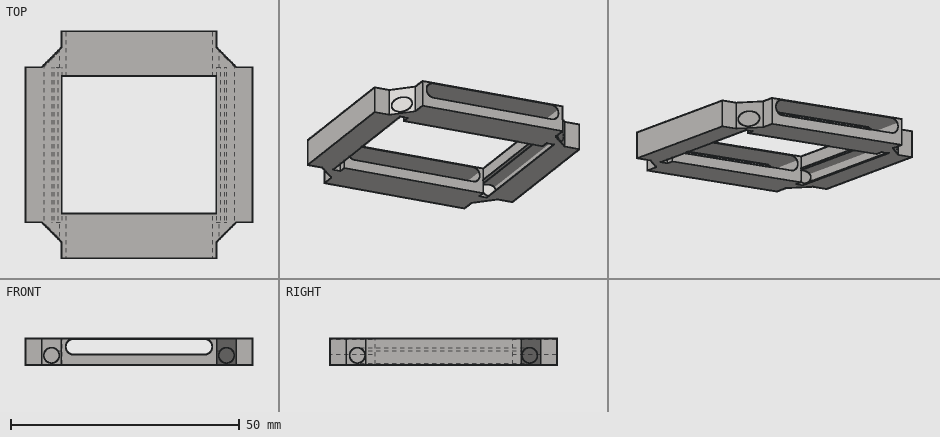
import cadquery as cq
import math

side = 49.8
thickness = 5.9

arm_width = 34.05
notch_shoulder = 21.3

window_x = 33.75
window_y = 30.15

slot_length = 32.05
slot_diameter = 3.4
slot_floor = 2.35

bore_diameter = 3.4
bore_z = 2.15
bore_x = (arm_width / 2 + notch_shoulder) / 2
end_skin = 0.2

undercut_height = 3.2
undercut_lip_x = 18.68
undercut_lip_rise = 0.45


def make_right_bore():
    """Bore along Y whose ends stop one skin short of the diagonal corner faces."""
    radius = bore_diameter / 2
    diagonal_sum = arm_width / 2 + notch_shoulder - end_skin * math.sqrt(2)
    near_x = bore_x - radius
    far_x = bore_x + radius
    end_limits = [
        (near_x, diagonal_sum - near_x),
        (far_x, diagonal_sum - far_x),
        (far_x, far_x - diagonal_sum),
        (near_x, near_x - diagonal_sum),
    ]
    limits = cq.Workplane("XY").polyline(end_limits).close().extrude(thickness)
    bore = (
        cq.Workplane("XZ")
        .center(bore_x, bore_z)
        .circle(radius)
        .extrude(side / 2, both=True)
    )
    return bore.intersect(limits)


def make_right_undercut():
    """Opening from the bore to the window and underside, as long as the outer face of the bar."""
    profile = [
        (window_x / 2, 0),
        (window_x / 2, undercut_height),
        (bore_x, undercut_height),
        (bore_x, bore_z),
        (undercut_lip_x + undercut_lip_rise, bore_z),
        (undercut_lip_x + undercut_lip_rise, undercut_lip_rise),
        (undercut_lip_x, 0),
    ]
    return cq.Workplane("XZ").polyline(profile).close().extrude(arm_width / 2, both=True)


def make_outline():
    """Square plate whose four corners are notched with diagonal inner faces."""
    half = side / 2
    arm = arm_width / 2
    quadrant = [(half, arm), (notch_shoulder, arm), (arm, notch_shoulder), (arm, half)]
    points = []
    for x, y in quadrant:
        points.append((x, y))
    for x, y in reversed(quadrant):
        points.append((-x, y))
    for x, y in quadrant:
        points.append((-x, -y))
    for x, y in reversed(quadrant):
        points.append((x, -y))
    return cq.Workplane("XY").polyline(points).close().extrude(thickness)


def make_window():
    """Rectangular opening through the full thickness."""
    return cq.Workplane("XY").rect(window_x, window_y).extrude(thickness)


def make_slot():
    """Round-ended slot running along Y through both bars."""
    slot_centre_z = slot_floor + slot_diameter / 2
    return (
        cq.Workplane("XZ")
        .center(0, slot_centre_z)
        .slot2D(slot_length, slot_diameter)
        .extrude(side / 2, both=True)
    )


result = make_outline().cut(make_window()).cut(make_slot())
for cavity in (make_right_bore(), make_right_undercut()):
    result = result.cut(cavity).cut(cavity.mirror("YZ"))